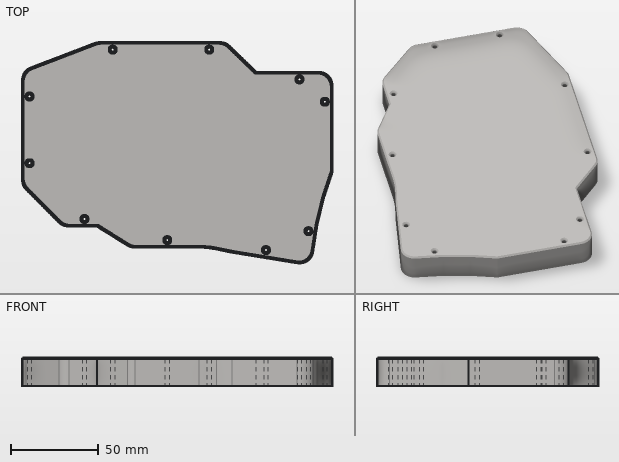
import cadquery as cq

length = 177.8
width = 126.8
height = 16.4

corner_radius = 8.0
blend_radius = 49.8
edge_chamfer = 0.9

hole_diameter = 2.5
hole_chamfer = 0.98
hole_inset = 4.3

shoulder_y = 109.7
step_y = 21.2
front_y = 9.0

left_rear = (0, 110.3)
rear_left = (43.2, width)
rear_right = (116.5, width)
shoulder_inner = (134.1, shoulder_y)
shoulder_outer = (length, shoulder_y)
waist_start = (length, 52.3)
waist_middle = (170.7, 29.2)
front_tip = (166.1, -1.2)
front_bend = (120.2, 6.2)
front_right = (106.5, front_y)
front_left = (62.5, front_y)
step_inner = (43.0, step_y)
step_outer = (23.5, step_y)
left_front = (0, 44.8)

rounded_corners = [
    left_rear, rear_left, rear_right, shoulder_outer, front_tip, front_left, step_outer, left_front,
]

hole_centers = [
    (52.0, width - hole_inset),
    (107.2, width - hole_inset),
    (159.0, shoulder_y - hole_inset),
    (length - hole_inset, 92.7),
    (164.2, 18.5),
    (139.8, 7.6),
    (83.2, front_y + hole_inset),
    (35.7, step_y + hole_inset),
    (hole_inset, 57.5),
    (hole_inset, 95.7),
]


def round_upright_edge(solid, corner, radius):
    """Round the upright edge that stands on the given outline corner."""
    middle = (corner[0], corner[1], height / 2)
    nearest = cq.selectors.NearestToPointSelector(middle)
    return solid.edges("|Z").edges(nearest).fillet(radius)


def make_body():
    """Plate with rounded upright edges and a chamfer around the top face."""
    body = (
        cq.Workplane("XY")
        .polyline([left_rear, rear_left, rear_right, shoulder_inner, shoulder_outer, waist_start])
        .threePointArc(waist_middle, front_tip)
        .lineTo(*front_bend)
        .lineTo(*front_right)
        .lineTo(*front_left)
        .lineTo(*step_inner)
        .lineTo(*step_outer)
        .lineTo(*left_front)
        .close()
        .extrude(height)
    )
    for corner in rounded_corners:
        body = round_upright_edge(body, corner, corner_radius)
    body = round_upright_edge(body, front_right, blend_radius)
    return body.faces(">Z").chamfer(edge_chamfer)


def make_hole_cutters():
    """Through holes, each with a countersunk mouth at the top face."""
    mouth_diameter = hole_diameter + 2 * hole_chamfer
    drills = cq.Workplane("XY").pushPoints(hole_centers).circle(hole_diameter / 2).extrude(height)
    mouth = cq.Solid.makeCone(hole_diameter / 2, mouth_diameter / 2, hole_chamfer)
    mouths = (
        cq.Workplane("XY", origin=(0, 0, height - hole_chamfer))
        .pushPoints(hole_centers)
        .eachpoint(lambda place: mouth.moved(place))
    )
    return drills.union(mouths)


result = make_body().cut(make_hole_cutters())